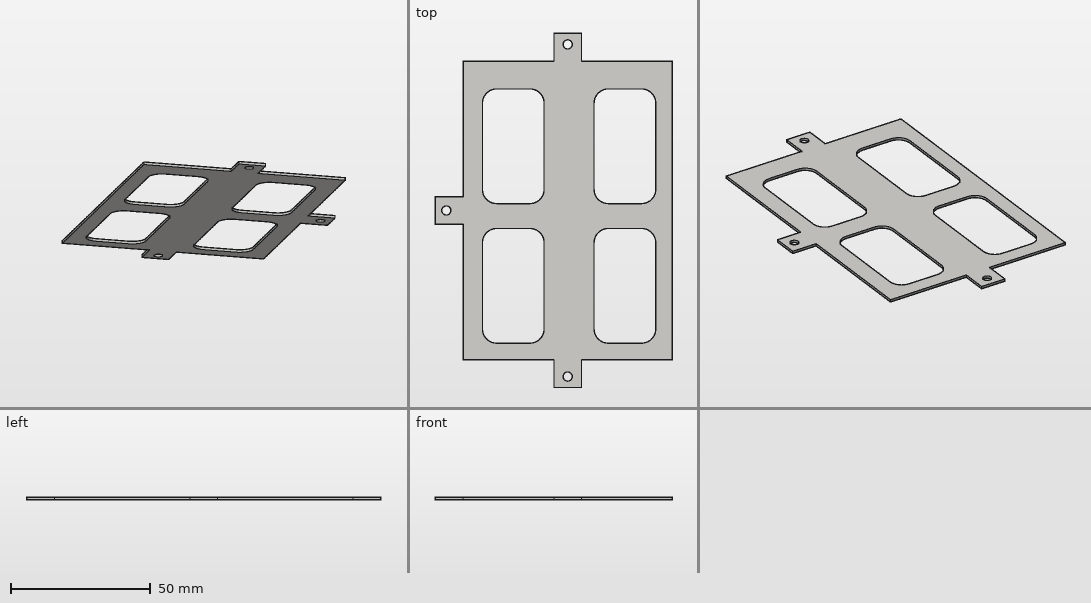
import cadquery as cq

plate_width = 75.0
plate_length = 107.0
thickness = 1.0

tab_size = 10.0
hole_diameter = 3.2
hole_edge_distance = 4.0

window_width = 22.0
window_length = 41.0
window_corner_radius = 5.0
left_margin = 7.0
right_margin = 6.0
front_margin = 6.0
back_margin = 10.0

half_width = plate_width / 2
half_length = plate_length / 2
tab_offset = tab_size / 2
hole_offset = tab_size - hole_edge_distance

tab_directions = [(-1, 0), (0, -1), (0, 1)]


def points_beyond_edge(distance):
    """Points centred on each tabbed side, the given distance outside the plate."""
    return [
        (dx * (half_width + distance), dy * (half_length + distance))
        for dx, dy in tab_directions
    ]


def window_centers():
    """Centres of the windows, set by their margins to the plate edges."""
    x_centers = [
        -half_width + left_margin + window_width / 2,
        half_width - right_margin - window_width / 2,
    ]
    y_centers = [
        -half_length + front_margin + window_length / 2,
        half_length - back_margin - window_length / 2,
    ]
    return [(x, y) for x in x_centers for y in y_centers]


def make_blank():
    """Rectangular plate with its tabs."""
    plate = cq.Workplane("XY").rect(plate_width, plate_length).extrude(thickness)
    tabs = (
        cq.Workplane("XY")
        .pushPoints(points_beyond_edge(tab_offset))
        .rect(tab_size, tab_size)
        .extrude(thickness)
    )
    return plate.union(tabs).clean()


def make_windows():
    """Rounded prisms that cut the windows."""
    return (
        cq.Workplane("XY")
        .pushPoints(window_centers())
        .rect(window_width, window_length)
        .extrude(thickness)
        .edges("|Z")
        .fillet(window_corner_radius)
    )


def make_tab_holes():
    """Cylinders that cut the screw holes."""
    return (
        cq.Workplane("XY")
        .pushPoints(points_beyond_edge(hole_offset))
        .circle(hole_diameter / 2)
        .extrude(thickness)
    )


result = make_blank().cut(make_windows()).cut(make_tab_holes())